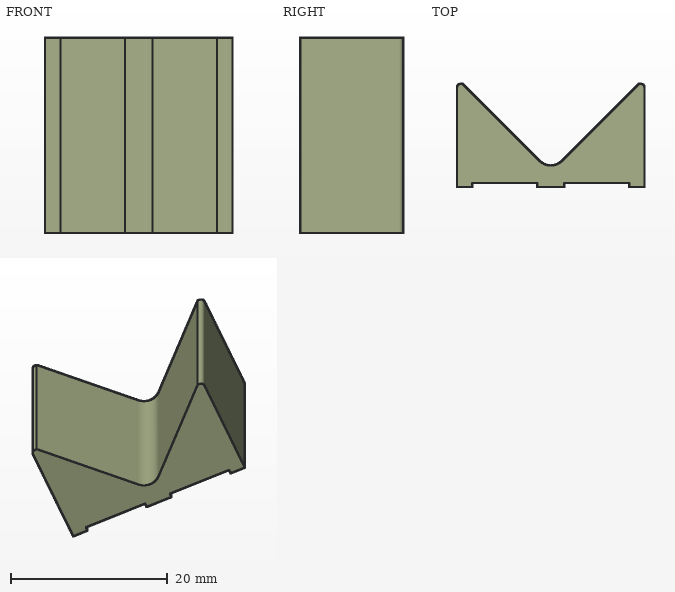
import cadquery as cq

width = 24.0
depth = 13.2
height = 25.0

tip_land = 0.75
root_radius = 2.0
tip_radius = 0.5

edge_rib = 2.0
center_rib = 3.5
channel_depth = 0.5
channel_width = (width - center_rib) / 2 - edge_rib

vee_half_width = width / 2 - tip_land
root_y = depth - vee_half_width


def make_block():
    """V-block with rounded outer tips and a rounded V root, base on Y = 0."""
    block = (
        cq.Workplane("XY")
        .moveTo(-width / 2, 0)
        .lineTo(width / 2, 0)
        .lineTo(width / 2, depth)
        .lineTo(vee_half_width, depth)
        .lineTo(0, root_y)
        .lineTo(-vee_half_width, depth)
        .lineTo(-width / 2, depth)
        .close()
        .extrude(height)
    )
    for side in (-1, 1):
        outer_tip = cq.selectors.NearestToPointSelector((side * width / 2, depth, height / 2))
        block = block.edges(outer_tip).fillet(tip_radius)
    root = cq.selectors.NearestToPointSelector((0, root_y, height / 2))
    return block.edges(root).fillet(root_radius)


def make_channels():
    """Two full-height channel cutters, one on each side of the central rib."""
    offset = (center_rib + channel_width) / 2
    return (
        cq.Workplane("XY")
        .pushPoints([(-offset, 0), (offset, 0)])
        .rect(channel_width, 2 * channel_depth)
        .extrude(height)
    )


result = make_block().cut(make_channels())